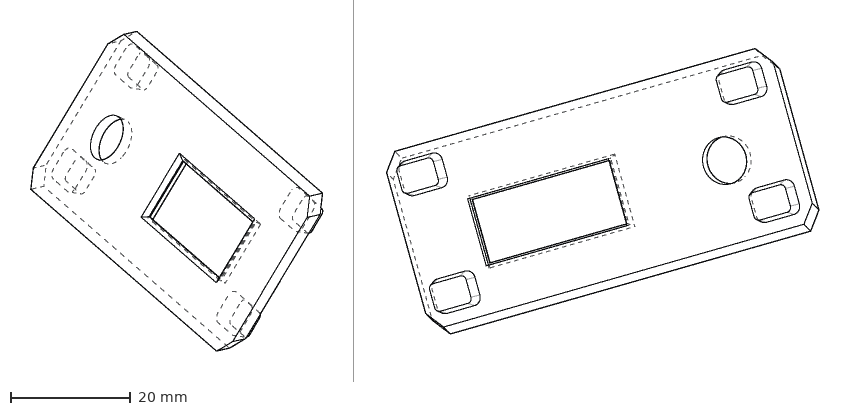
import cadquery as cq
import math

LENGTH = 73.1
HEIGHT = 25.0
SLOPE = 55.0
CORNER_CUT = 2.5

HOLE_DIAMETER = 8.0
HOLE_X = -23.25
WINDOW_X = 10.3
WINDOW_OFFSET = -0.15
WINDOW_LENGTH = 25.95
WINDOW_WIDTH = 11.0
WINDOW_CHAMFER = 0.8
WINDOW_LIP = 0.2
WINDOW_RELIEF = 0.33

RELIEF_START = WINDOW_CHAMFER + WINDOW_LIP
THICKNESS = 2 * RELIEF_START

PEG_LENGTH = 8.1
PEG_WIDTH = 6.0
PEG_CORNER_RADIUS = 1.45
PEG_HEIGHT = 2.5
PEG_TAPER = 14.0
PEG_X = 30.2
PEG_OFFSET = 10.2

SIN_SLOPE = math.sin(math.radians(SLOPE))
COS_SLOPE = math.cos(math.radians(SLOPE))
INWARD = cq.Vector(0, SIN_SLOPE, -COS_SLOPE)

front_plane = cq.Plane(origin=(0, 0, 0), xDir=(1, 0, 0), normal=(-INWARD).toTuple())
back_plane = cq.Plane(origin=(0, THICKNESS / SIN_SLOPE, 0), xDir=(-1, 0, 0), normal=INWARD.toTuple())


def make_plate():
    """Sloping sheet whose rim runs level, parallel to Y, including the corner cuts."""
    run = HEIGHT * COS_SLOPE / SIN_SLOPE
    level_thickness = THICKNESS / SIN_SLOPE
    sheet = (
        cq.Workplane("YZ")
        .moveTo(-run / 2, -HEIGHT / 2)
        .line(level_thickness, 0)
        .line(run, HEIGHT)
        .line(-level_thickness, 0)
        .close()
        .extrude(LENGTH / 2, both=True)
    )
    outline = (
        cq.Workplane("XZ")
        .rect(LENGTH, HEIGHT)
        .extrude(run + level_thickness, both=True)
        .edges("|Y")
        .chamfer(CORNER_CUT)
    )
    return sheet.intersect(outline)


def make_hole():
    return (
        cq.Workplane(front_plane)
        .center(HOLE_X, 0)
        .circle(HOLE_DIAMETER / 2)
        .extrude(-THICKNESS)
    )


def make_window():
    """Rectangular opening with a 45 degree flare in front and a wider relief behind its lip."""
    front = cq.Workplane(front_plane).center(WINDOW_X, WINDOW_OFFSET)
    opening = front.rect(WINDOW_LENGTH, WINDOW_WIDTH).extrude(-THICKNESS)
    flare = (
        front.rect(WINDOW_LENGTH + 2 * WINDOW_CHAMFER, WINDOW_WIDTH + 2 * WINDOW_CHAMFER)
        .workplane(offset=-WINDOW_CHAMFER)
        .rect(WINDOW_LENGTH, WINDOW_WIDTH)
        .loft(combine=False)
    )
    relief = (
        front.workplane(offset=-RELIEF_START)
        .rect(WINDOW_LENGTH + 2 * WINDOW_RELIEF, WINDOW_WIDTH + 2 * WINDOW_RELIEF)
        .extrude(RELIEF_START - THICKNESS)
    )
    return opening.union(flare).union(relief)


def make_pegs():
    """Four rounded rectangular pegs, one near each corner of the back face."""
    profile = (
        cq.Sketch()
        .rect(PEG_LENGTH, PEG_WIDTH)
        .vertices()
        .fillet(PEG_CORNER_RADIUS)
    )
    return (
        cq.Workplane(back_plane)
        .rect(2 * PEG_X, 2 * PEG_OFFSET, forConstruction=True)
        .vertices()
        .placeSketch(profile)
        .extrude(PEG_HEIGHT, taper=PEG_TAPER)
    )


result = make_plate().cut(make_hole()).cut(make_window()).union(make_pegs())